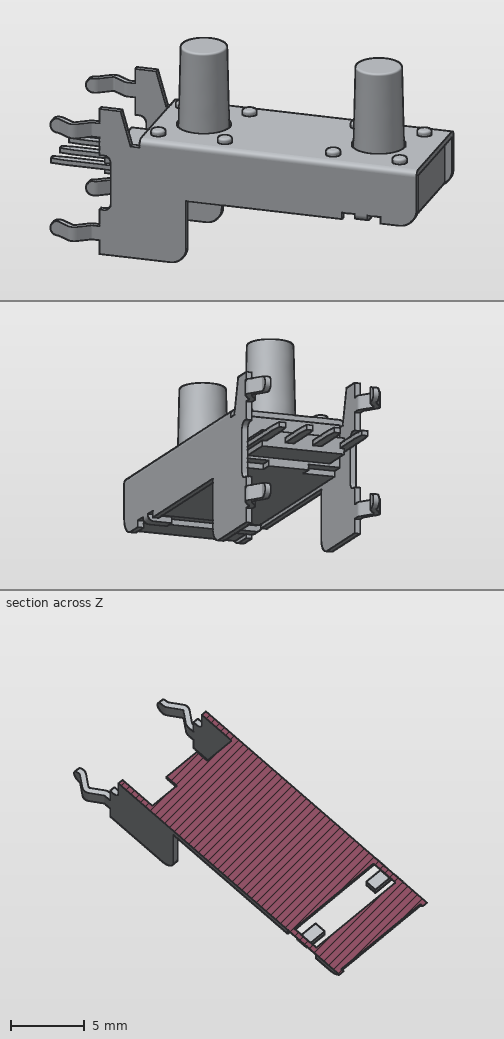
import cadquery as cq
import math

LENGTH = 26.38
SPRING_SPAN = 9.75
HEIGHT = 14.4

SHEET = 0.42
BRACKET_WIDTH = 8.34
BRACKET_FRONT = 3.77
COVER_FRONT = 6.62
COVER_TOP = 8.68
WALL_BOTTOM = 4.6
EAR_TOP = 10.58
EAR_TOP_END = 5.28
EAR_FOOT = 6.0
RELIEF_FLOOR = 8.1
LEG_END = 9.95
LEG_RADIUS = 1.1
END_RADIUS = 1.25
FRONT_NOTCH_END = 4.56
FRONT_NOTCH_BOTTOM = 3.25
FRONT_NOTCH_TOP = 7.23
FRONT_NOTCH_RADIUS = 0.5

TAB_NOTCH_START = 21.08
TAB_NOTCH_END = 23.82
TAB_NOTCH_TOP = 5.06
TAB_CENTRE = 22.42
TAB_WIDTH = 0.9
TAB_REACH = 2.4

SPRING_TIP = 0.26
SPRING_HEIGHT = 1.03
SPRING_TIP_RADIUS = 0.5
SPRING_BOTTOMS = (1.0, 8.5)
SPRING_PEAK = 2.03
SPRING_ANGLE = math.radians(35)
SPRING_OUTER_RADIUS = 0.55
SPRING_INNER_RADIUS = SPRING_OUTER_RADIUS - SHEET

HOUSING_FRONT = 6.45
HOUSING_END = 25.88
HOUSING_BOTTOM = 4.88
RECESS_DEPTH = 0.4
CORNER_RECESS_LENGTH = 1.0
CORNER_RECESS_INNER = 1.45
TAB_POCKET_START = 21.32
TAB_POCKET_END = 23.43

BLOCK_WIDTH = 6.0
BLOCK_HEIGHT = 1.13
PIN_Z = 6.05
PIN_COUNT = 4
PIN_PITCH = 2.0
PIN_WIDTH = 0.63
PIN_THICKNESS = 0.35
PIN_TIP_WIDTH = 0.45
PIN_TAPER = 0.98

BUTTON_XS = (9.9, 22.37)
BUTTON_HOLE_DIAMETER = 3.7
BUTTON_BASE_DIAMETER = 3.48
BUTTON_TOP_DIAMETER = 3.2
BUTTON_EDGE = 0.15
RIVET_DIAMETER = 1.0
RIVET_HEIGHT = 0.37
RIVET_EDGE = 0.18
RIVET_DX = 2.37
RIVET_DY = 2.75

HALF_WIDTH = BRACKET_WIDTH / 2
INNER_HALF_WIDTH = HALF_WIDTH - SHEET
COVER_BOTTOM = COVER_TOP - SHEET
RECESS_TOP = HOUSING_BOTTOM + RECESS_DEPTH


def box(x_range, y_range, z_range):
    """Axis-aligned block given by its limits."""
    (x0, x1), (y0, y1), (z0, z1) = x_range, y_range, z_range
    return cq.Workplane("XY").box(x1 - x0, y1 - y0, z1 - z0, centered=False).translate((x0, y0, z0))


def wall_profile(plane):
    """Side-wall outline in the XZ plane, without its rounded corners and notches."""
    return plane.polyline(
        [
            (BRACKET_FRONT, 0),
            (LEG_END, 0),
            (LEG_END, WALL_BOTTOM),
            (LENGTH, WALL_BOTTOM),
            (LENGTH, COVER_TOP),
            (COVER_FRONT, COVER_TOP),
            (COVER_FRONT, RELIEF_FLOOR),
            (EAR_FOOT, RELIEF_FLOOR),
            (EAR_TOP_END, EAR_TOP),
            (BRACKET_FRONT, EAR_TOP),
        ]
    ).close()


def make_bracket():
    """Folded cover and two side walls, with the inside left open."""
    shell = wall_profile(cq.Workplane("XZ")).extrude(HALF_WIDTH, both=True)
    shell = shell.edges(cq.NearestToPointSelector((LEG_END, 0, 0))).fillet(LEG_RADIUS)
    shell = shell.edges(cq.NearestToPointSelector((LENGTH, 0, WALL_BOTTOM))).fillet(END_RADIUS)
    shell = shell.faces(cq.NearestToPointSelector((LENGTH / 2, 0, COVER_TOP))).edges("|X").fillet(SHEET)

    inside_y = (-INNER_HALF_WIDTH, INNER_HALF_WIDTH)
    across_y = (-HALF_WIDTH, HALF_WIDTH)
    under_cover = box((0, LENGTH), inside_y, (0, COVER_BOTTOM))
    ahead_of_cover = box((0, COVER_FRONT), inside_y, (0, EAR_TOP))

    front_notch = box(
        (0, FRONT_NOTCH_END), across_y, (FRONT_NOTCH_BOTTOM, FRONT_NOTCH_TOP)
    ).edges("|Y and >X").fillet(FRONT_NOTCH_RADIUS)
    tab_notch = box((TAB_NOTCH_START, TAB_NOTCH_END), across_y, (0, TAB_NOTCH_TOP))
    return shell.cut(under_cover).cut(ahead_of_cover).cut(front_notch).cut(tab_notch)


def make_folded_tab():
    """Tab continuing the +Y wall downwards and folding inwards under the housing."""
    tab_x = (TAB_CENTRE - TAB_WIDTH / 2, TAB_CENTRE + TAB_WIDTH / 2)
    tab = box(tab_x, (TAB_REACH, HALF_WIDTH), (WALL_BOTTOM, TAB_NOTCH_TOP))
    tab = tab.edges("|X and >Y and <Z").fillet(SHEET)
    above_flange = box(tab_x, (TAB_REACH, INNER_HALF_WIDTH), (WALL_BOTTOM + SHEET, TAB_NOTCH_TOP))
    return tab.cut(above_flange)


def make_spring(bottom):
    """Spring leg of the +Y wall: a strip kinked outwards, with rounded bends and tip."""
    half = SHEET / 2
    middle = HALF_WIDTH - half
    slant = half / math.cos(SPRING_ANGLE)
    rounding_loss = SPRING_OUTER_RADIUS * (1 / math.cos(SPRING_ANGLE) - 1)
    peak = SPRING_SPAN / 2 + rounding_loss - slant
    run = (peak - middle) / math.tan(SPRING_ANGLE)
    mitre = half * math.tan(SPRING_ANGLE / 2)
    outer_run = run + mitre
    inner_run = run - mitre

    strip = (
        cq.Workplane("XY")
        .workplane(offset=bottom)
        .polyline(
            [
                (SPRING_TIP, INNER_HALF_WIDTH),
                (SPRING_PEAK - inner_run, INNER_HALF_WIDTH),
                (SPRING_PEAK, peak - slant),
                (SPRING_PEAK + inner_run, INNER_HALF_WIDTH),
                (BRACKET_FRONT, INNER_HALF_WIDTH),
                (BRACKET_FRONT, HALF_WIDTH),
                (SPRING_PEAK + outer_run, HALF_WIDTH),
                (SPRING_PEAK, peak + slant),
                (SPRING_PEAK - outer_run, HALF_WIDTH),
                (SPRING_TIP, HALF_WIDTH),
            ]
        )
        .close()
        .extrude(SPRING_HEIGHT)
    )
    mid_z = bottom + SPRING_HEIGHT / 2
    bends = [
        (SPRING_PEAK, peak + slant, SPRING_OUTER_RADIUS),
        (SPRING_PEAK, peak - slant, SPRING_INNER_RADIUS),
    ]
    for side in (-1, 1):
        bends.append((SPRING_PEAK + side * inner_run, INNER_HALF_WIDTH, SPRING_OUTER_RADIUS))
        bends.append((SPRING_PEAK + side * outer_run, HALF_WIDTH, SPRING_INNER_RADIUS))
    for x, y, radius in bends:
        strip = strip.edges(cq.NearestToPointSelector((x, y, mid_z))).fillet(radius)
    return strip.edges("|Y and <X").fillet(SPRING_TIP_RADIUS)


def make_housing():
    """Plastic body under the cover, with two front corner recesses and a cross pocket for the tabs."""
    housing = box(
        (HOUSING_FRONT, HOUSING_END),
        (-INNER_HALF_WIDTH, INNER_HALF_WIDTH),
        (HOUSING_BOTTOM, COVER_BOTTOM),
    )
    recess_z = (HOUSING_BOTTOM, RECESS_TOP)
    corner_recess = box(
        (HOUSING_FRONT, HOUSING_FRONT + CORNER_RECESS_LENGTH),
        (CORNER_RECESS_INNER, INNER_HALF_WIDTH),
        recess_z,
    )
    tab_pocket = box(
        (TAB_POCKET_START, TAB_POCKET_END),
        (-INNER_HALF_WIDTH, INNER_HALF_WIDTH),
        recess_z,
    )
    return housing.cut(corner_recess).cut(corner_recess.mirror("XZ")).cut(tab_pocket)


def make_terminal_block():
    """Flat block in front of the housing that holds the pins."""
    return box(
        (BRACKET_FRONT, HOUSING_FRONT),
        (-BLOCK_WIDTH / 2, BLOCK_WIDTH / 2),
        (PIN_Z - BLOCK_HEIGHT / 2, PIN_Z + BLOCK_HEIGHT / 2),
    )


def make_pin(y):
    """Flat pin along X with a tip narrowed in width."""
    return (
        cq.Workplane("XY")
        .workplane(offset=PIN_Z - PIN_THICKNESS / 2)
        .polyline(
            [
                (0, y - PIN_TIP_WIDTH / 2),
                (PIN_TAPER, y - PIN_WIDTH / 2),
                (HOUSING_FRONT, y - PIN_WIDTH / 2),
                (HOUSING_FRONT, y + PIN_WIDTH / 2),
                (PIN_TAPER, y + PIN_WIDTH / 2),
                (0, y + PIN_TIP_WIDTH / 2),
            ]
        )
        .close()
        .extrude(PIN_THICKNESS)
    )


def make_button(x):
    """Tapered push button standing on the housing, with a rounded top edge."""
    taper_height = HEIGHT - COVER_BOTTOM
    taper = math.degrees(math.atan((BUTTON_BASE_DIAMETER - BUTTON_TOP_DIAMETER) / 2 / taper_height))
    return (
        cq.Workplane("XY")
        .workplane(offset=COVER_BOTTOM)
        .center(x, 0)
        .circle(BUTTON_BASE_DIAMETER / 2)
        .extrude(taper_height, taper=taper)
        .faces(">Z")
        .edges()
        .fillet(BUTTON_EDGE)
    )


def make_button_hole(x):
    """Clearance hole in the cover around a button."""
    return (
        cq.Workplane("XY")
        .workplane(offset=COVER_BOTTOM)
        .center(x, 0)
        .circle(BUTTON_HOLE_DIAMETER / 2)
        .extrude(SHEET)
    )


def make_rivets(x):
    """Four domed rivet heads around a button."""
    return (
        cq.Workplane("XY")
        .workplane(offset=COVER_TOP)
        .center(x, 0)
        .rect(2 * RIVET_DX, 2 * RIVET_DY, forConstruction=True)
        .vertices()
        .circle(RIVET_DIAMETER / 2)
        .extrude(RIVET_HEIGHT)
        .faces(">Z")
        .edges()
        .fillet(RIVET_EDGE)
    )


result = make_bracket()
for button_x in BUTTON_XS:
    result = result.cut(make_button_hole(button_x))

wall_details = [make_folded_tab()] + [make_spring(bottom) for bottom in SPRING_BOTTOMS]
for detail in wall_details:
    result = result.union(detail).union(detail.mirror("XZ"))

result = result.union(make_housing()).union(make_terminal_block())
for index in range(PIN_COUNT):
    result = result.union(make_pin((index - (PIN_COUNT - 1) / 2) * PIN_PITCH))

for button_x in BUTTON_XS:
    result = result.union(make_button(button_x)).union(make_rivets(button_x))